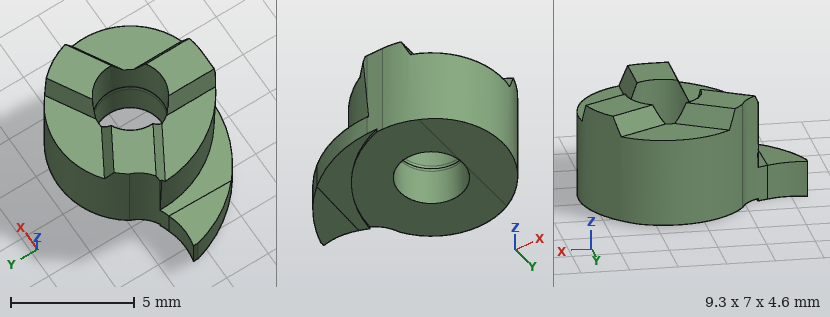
import cadquery as cq
import math

hub_radius = 3.5
bore_radius = 1.54
hub_height = 4.46
overcut = 1.86

tip_x = hub_radius - 9.3
tip_y = 0.735
tip_land_y = 0.51
joint_x = -4.14
throat_mid = (-3.38, 1.25)
throat_end_y = 0.84
rake_mid = (-4.93, 0.66)
throat_start_y = 1.94
wing_back_mid = (joint_x, -2.18)
wing_back_end_x = -0.75

tip_bottom_z = -0.14
tip_thickness = 1.52
tip_top_z = tip_bottom_z + tip_thickness
fall_x = 0.02
fall_y = 0.045
shoulder_left_x = -3.72
shoulder_left_y = 0.99
top_shoulder_mid = (-2.55, -2.16)
top_shoulder_end_x = -0.68
bottom_shoulder_mid = (-2.455, -2.08)
bottom_shoulder_end_x = -0.27

tooth_count = 3
first_tooth_angle = -90.0
tooth_depth = 0.81
tooth_half_top = 0.85
tooth_half_base = 1.23
tooth_floor_z = hub_height - tooth_depth

groove_top_z = 2.06
groove_root_z = 1.94
groove_bottom_z = 1.78
groove_root_radius = 1.57

relief_start_x = 1.54
relief_rise = 0.09


def outline_prism():
    """Upright prism over the whole plan shape."""
    throat_start_x = -math.sqrt(hub_radius ** 2 - throat_start_y ** 2)
    return (
        cq.Workplane("XY")
        .workplane(offset=tip_bottom_z)
        .moveTo(0, -hub_radius)
        .threePointArc((hub_radius, 0), (0, hub_radius))
        .radiusArc((throat_start_x, throat_start_y), -hub_radius)
        .threePointArc(throat_mid, (joint_x, throat_end_y))
        .threePointArc(rake_mid, (tip_x, tip_y))
        .lineTo(tip_x, tip_land_y)
        .threePointArc(wing_back_mid, (wing_back_end_x, -hub_radius))
        .close()
        .extrude(hub_height - tip_bottom_z)
    )


def wing_clearance(tip_z, side, shoulder_mid, shoulder_end_x, both=False):
    """Space beside the hub shoulder, above (side 1) or below (side -1) a sloping wing face.

    The shoulder wall is square to the wing face. With both=True the space spans both sides.
    """
    centre_z = tip_z + side * (fall_x * tip_x - fall_y * tip_y)
    face = cq.Plane(
        origin=(0, 0, centre_z),
        xDir=(1, 0, -side * fall_x),
        normal=(side * fall_x, -side * fall_y, 1),
    )
    shoulder_back_x = shoulder_left_x - overcut * fall_x / fall_y
    shoulder_back_y = shoulder_left_y + overcut
    return (
        cq.Workplane(face)
        .moveTo(shoulder_left_x, shoulder_left_y)
        .threePointArc(shoulder_mid, (shoulder_end_x, -hub_radius))
        .lineTo(shoulder_end_x, -hub_radius - overcut)
        .lineTo(tip_x - overcut, -hub_radius - overcut)
        .lineTo(tip_x - overcut, shoulder_back_y)
        .lineTo(shoulder_back_x, shoulder_back_y)
        .close()
        .extrude(side * (hub_height + overcut), both=both)
    )


def hub_underside_clearance():
    """Space below the flat underside, inside the lower wing shoulder."""
    below = cq.Workplane("XY").box(
        2 * (hub_radius - tip_x), 4 * hub_radius, overcut, centered=(True, True, False)
    ).translate((0, 0, -overcut))
    wing_zone = wing_clearance(
        tip_bottom_z, -1, bottom_shoulder_mid, bottom_shoulder_end_x, both=True
    )
    return below.cut(wing_zone)


def tooth_gaps():
    """Top layer of the hub left over between the radial teeth."""
    gaps = (
        cq.Workplane("XY")
        .workplane(offset=tooth_floor_z)
        .circle(2 * hub_radius)
        .extrude(tooth_depth)
    )
    for index in range(tooth_count):
        tooth = (
            cq.Workplane("YZ")
            .polyline([
                (-tooth_half_base, tooth_floor_z),
                (tooth_half_base, tooth_floor_z),
                (tooth_half_top, hub_height),
                (-tooth_half_top, hub_height),
            ])
            .close()
            .extrude(2 * hub_radius)
        )
        angle = first_tooth_angle + index * 360.0 / tooth_count
        gaps = gaps.cut(tooth.rotate((0, 0, 0), (0, 0, 1), angle))
    return gaps


def underside_relief():
    """Wedge under the hub, rising towards +X."""
    return (
        cq.Workplane("XZ")
        .polyline([(relief_start_x, 0), (hub_radius, 0), (hub_radius, relief_rise)])
        .close()
        .extrude(hub_radius, both=True)
    )


def bore_groove():
    """V-groove ring, with its profile reaching in to the bore axis."""
    return (
        cq.Workplane("XZ")
        .polyline([
            (0, groove_bottom_z),
            (bore_radius, groove_bottom_z),
            (groove_root_radius, groove_root_z),
            (bore_radius, groove_top_z),
            (0, groove_top_z),
        ])
        .close()
        .revolve(360, (0, 0), (0, 1))
    )


def whole_insert():
    """Hub and wing together, before the joint divides them."""
    bore = (
        cq.Workplane("XY")
        .circle(bore_radius)
        .extrude(hub_height)
    )
    return (
        outline_prism()
        .cut(wing_clearance(tip_top_z, 1, top_shoulder_mid, top_shoulder_end_x))
        .cut(wing_clearance(tip_bottom_z, -1, bottom_shoulder_mid, bottom_shoulder_end_x))
        .cut(hub_underside_clearance())
        .cut(bore)
        .cut(bore_groove())
        .cut(tooth_gaps())
        .cut(underside_relief())
    )


def tip_side():
    """Block covering everything on the tip side of the joint."""
    return (
        cq.Workplane("YZ")
        .workplane(offset=joint_x)
        .rect(4 * hub_radius, 4 * hub_height)
        .extrude(tip_x - joint_x - overcut)
    )


def make_hub():
    return whole_insert().cut(tip_side())


def make_cutting_tip():
    return whole_insert().intersect(tip_side())


hub = make_hub()
cutting_tip = make_cutting_tip()

result = cq.Compound.makeCompound([hub.val(), cutting_tip.val()])